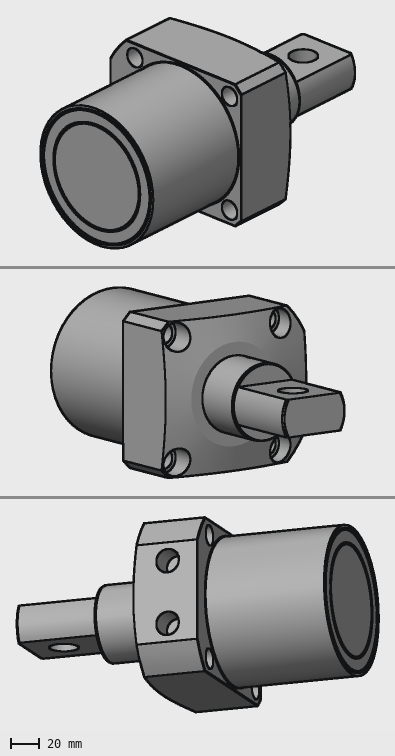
import cadquery as cq
import math

total_length = 238.0

barrel_radius = 52.5
barrel_length = 88.0
flange_left = 67.0
flange_right = 55.0
flange_half_height = 55.0
flange_corner_radius = 76.0
flange_corner_chamfer = 6.0
flange_edge_chamfer = 0.35
barrel_root_flare = 0.5
nose_end = 143.8
nose_flat_radius = 36.7
nose_cone_angle = 15.0

bolt_spacing = 88.0
bolt_hole_radius = 7.1
bolt_counterbore_radius = 10.0
bolt_counterbore_floor = 121.4
port_mouth_radius = 8.3
port_diameter_taper = 1 / 16
port_spacing = 44.7
port_position = 110.2
port_depth = 19.0

ring_radius = 49.7
ring_thickness = 19.0
piston_radius = 39.7
seam_chamfer = 0.7

rod_radius = 27.4
rod_shoulder = 180.0
rod_shoulder_bevel = 1.5
eye_radius = 26.7
eye_thickness = 26.7
eye_tip_chamfer = 1.2
pin_hole_radius = 10.2
pin_hole_from_tip = 25.2


def cylinder(radius, start, end):
    """Solid cylinder on the Y axis between two Y positions."""
    return cq.Workplane("XZ", origin=(0, start, 0)).circle(radius).extrude(start - end)


def cone(start_radius, end_radius, start, end):
    """Solid frustum on the Y axis between two Y positions."""
    base_centre = cq.Vector(0, start, 0)
    along_axis = cq.Vector(0, 1, 0)
    frustum = cq.Solid.makeCone(start_radius, end_radius, end - start, base_centre, along_axis)
    return cq.Workplane(frustum)


def flange_blank():
    """Flange plate whose left corners are arcs about the axis and whose right corners are chamfered."""
    arc_top_x = -math.sqrt(flange_corner_radius**2 - flange_half_height**2)
    arc_side_z = math.sqrt(flange_corner_radius**2 - flange_left**2)
    arc_middle = flange_corner_radius * math.sqrt(0.5)
    half_side = flange_half_height - flange_corner_chamfer
    half_top = flange_right - flange_corner_chamfer
    plate = (
        cq.Workplane("XZ", origin=(0, barrel_length, 0))
        .moveTo(half_top, flange_half_height)
        .lineTo(arc_top_x, flange_half_height)
        .threePointArc((-arc_middle, arc_middle), (-flange_left, arc_side_z))
        .lineTo(-flange_left, -arc_side_z)
        .threePointArc((-arc_middle, -arc_middle), (arc_top_x, -flange_half_height))
        .lineTo(half_top, -flange_half_height)
        .lineTo(flange_right, -half_side)
        .lineTo(flange_right, half_side)
        .close()
        .extrude(barrel_length - nose_end)
    )
    return plate.faces("<Y").chamfer(flange_edge_chamfer)


def nose_cone():
    """Cone frustum that trims the flange to its sloping nose."""
    cone_height = nose_end - barrel_length
    base_radius = nose_flat_radius + cone_height / math.tan(math.radians(nose_cone_angle))
    return cone(base_radius, nose_flat_radius, barrel_length, nose_end)


def bolt_holes():
    """Four through holes, counterbored from the nose side."""
    through = cylinder(bolt_hole_radius, barrel_length, nose_end)
    counterbore = cylinder(bolt_counterbore_radius, bolt_counterbore_floor, nose_end)
    stepped_hole = through.union(counterbore)
    cutters = cq.Workplane("XZ")
    for side_x in (-1, 1):
        for side_z in (-1, 1):
            centre = (side_x * bolt_spacing / 2, 0, side_z * bolt_spacing / 2)
            cutters = cutters.add(stepped_hole.translate(centre))
    return cutters.combine()


def port(side_z):
    """Blind oil port, tapered for a pipe thread, entering the left side of the flange."""
    floor_radius = port_mouth_radius - port_depth * port_diameter_taper / 2
    mouth_centre = cq.Vector(-flange_left, port_position, side_z * port_spacing / 2)
    inward = cq.Vector(1, 0, 0)
    bore = cq.Solid.makeCone(port_mouth_radius, floor_radius, port_depth, mouth_centre, inward)
    return cq.Workplane(bore)


def make_piston_rod():
    """Piston flush with the barrel end, rod through the nose, and the flattened eye."""
    piston = cylinder(piston_radius, 0, ring_thickness).faces("<Y").chamfer(seam_chamfer)
    bevel_start = rod_shoulder - rod_shoulder_bevel
    rod = cylinder(rod_radius, ring_thickness, bevel_start)
    shoulder_bevel = cone(rod_radius, eye_radius, bevel_start, rod_shoulder)
    eye = cylinder(eye_radius, rod_shoulder, total_length).faces(">Y").chamfer(eye_tip_chamfer)
    flats = cq.Workplane("XY").box(2 * eye_radius, 2 * total_length, eye_thickness)
    pin_hole = (
        cq.Workplane("XY", origin=(0, total_length - pin_hole_from_tip, 0))
        .circle(pin_hole_radius)
        .extrude(eye_radius, both=True)
    )
    return piston.union(rod).union(shoulder_bevel).union(eye.intersect(flats)).cut(pin_hole)


def make_locking_ring():
    """Ring between the barrel and the piston, chamfered on both edges of its outer face."""
    ring = cylinder(ring_radius, 0, ring_thickness).cut(cylinder(piston_radius, 0, ring_thickness))
    return ring.faces("<Y").chamfer(seam_chamfer)


def make_housing():
    """Barrel and flange, with a stepped bore for the locking ring and the rod."""
    barrel = cylinder(barrel_radius, 0, barrel_length)
    flare_start = barrel_length - barrel_root_flare
    root_flare = cone(barrel_radius, barrel_radius + barrel_root_flare, flare_start, barrel_length)
    flange = flange_blank().intersect(nose_cone())
    bore_chamfer = cone(ring_radius + seam_chamfer, ring_radius, 0, seam_chamfer)
    housing = (
        barrel.union(root_flare)
        .union(flange)
        .cut(cylinder(rod_radius, 0, nose_end))
        .cut(cylinder(ring_radius, 0, ring_thickness))
        .cut(bore_chamfer)
        .cut(bolt_holes())
    )
    for side_z in (-1, 1):
        housing = housing.cut(port(side_z))
    return housing


housing = make_housing()
locking_ring = make_locking_ring()
piston_rod = make_piston_rod()

result = cq.Compound.makeCompound([housing.val(), locking_ring.val(), piston_rod.val()])